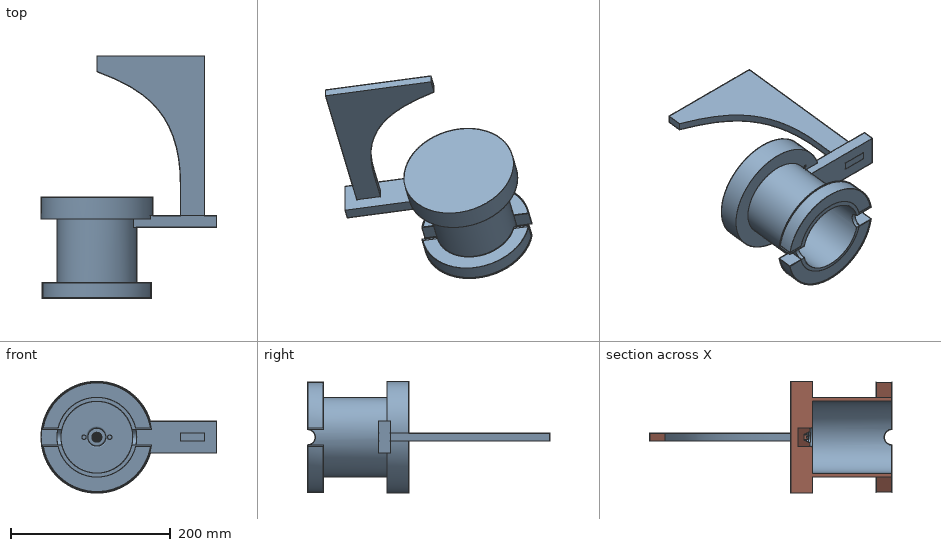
import cadquery as cq
import math

TUBE_DIAMETER = 100.0
BORE_DIAMETER = 90.0
FRONT_FLANGE_DIAMETER = 138.3
FRONT_FLANGE_THICKNESS = 20.0
REAR_FLANGE_DIAMETER = 140.0
REAR_FLANGE_FRONT = 99.5
REAR_FLANGE_BACK = 127.0

SLOT_WIDTH = 19.0
SLOT_WALL = 1.8

RING_COVER = 1.0

SMALL_HOLE_DIAMETER = 3
SMALL_HOLE_DEPTH = 4.5
SMALL_HOLE_X = 46.2
SMALL_HOLE_Z = 26.5

ARM_REACH = 220.0
ARM_END_X = ARM_REACH - REAR_FLANGE_DIAMETER / 2
ARM_HEIGHT = 40.0
ARM_THICKNESS = 15.0
ARM_FRONT = 89.0
ARM_BACK = ARM_FRONT + ARM_THICKNESS

HOOK_THICKNESS = 10.0
HOOK_INNER_X = 104.5
HOOK_WIDTH = 30.5
HOOK_OUTER_X = HOOK_INNER_X + HOOK_WIDTH
HOOK_BACK = 304
HOOK_TIP_X = 0
HOOK_TIP_Y = HOOK_BACK - 19.8
HOOK_CURVE_MIDDLE = (71.7, 242.3)
HOOK_CURVE_END_Y = 144.7
HOOK_TIP_DIRECTION = (0.94, -0.34)

BORE_FLOOR = REAR_FLANGE_FRONT
SOCKET_DIAMETER = 22.5
SOCKET_DEPTH = 18.2
SOCKET_ROUNDING = 2.0
KEY_HOLE_DIAMETER = 5.5
KEY_HOLE_OFFSET = SOCKET_DIAMETER / 2 + SOCKET_ROUNDING + KEY_HOLE_DIAMETER / 2
KEY_HOLE_DEPTH = 3

CONNECTOR_FRONT = BORE_FLOOR + 3
CONNECTOR_BACK = BORE_FLOOR + SOCKET_DEPTH
CONNECTOR_ROUNDING = 1.5
RECESS_DIAMETERS = (12.5, 10.3, 8.0)
RECESS_STEP = 2.5

CONTACT_DIAMETER = 6
CONTACT_BACK = CONNECTOR_FRONT + len(RECESS_DIAMETERS) * RECESS_STEP
CONTACT_HOLE_DIAMETERS = (5.0, 3, 1.67)
CONTACT_HOLE_STEP = 1.5


def rod(diameter, front, back):
    """Cylinder on the spool axis between two Y positions."""
    return cq.Workplane("XZ", origin=(0, front, 0)).circle(diameter / 2).extrude(front - back)


def block(x_range, y_range, height):
    """Box between two X and two Y positions, centred on Z = 0."""
    x_size = x_range[1] - x_range[0]
    y_size = y_range[1] - y_range[0]
    center = ((x_range[0] + x_range[1]) / 2, (y_range[0] + y_range[1]) / 2, 0)
    return cq.Workplane("XY").box(x_size, y_size, height).translate(center)


def across_flange(height):
    """Bar across the whole front flange, as deep as the flange is thick."""
    reach = FRONT_FLANGE_DIAMETER
    return block((-reach, reach), (0, FRONT_FLANGE_THICKNESS), height)


def stepped_hole(diameters, front, step):
    """Coaxial hole that narrows by one diameter at every step."""
    hole = rod(diameters[0], front, front + step)
    for level, diameter in enumerate(diameters[1:], start=2):
        hole = hole.union(rod(diameter, front, front + level * step))
    return hole


def make_half_rings():
    ring_front = RING_COVER
    ring_back = FRONT_FLANGE_THICKNESS - RING_COVER
    ring = rod(FRONT_FLANGE_DIAMETER - 2 * RING_COVER, ring_front, ring_back)
    ring = ring.cut(rod(TUBE_DIAMETER, ring_front, ring_back))
    return ring.cut(across_flange(SLOT_WIDTH + 2 * SLOT_WALL)).solids().vals()


def make_hook():
    return (
        cq.Workplane("XY", origin=(0, 0, -HOOK_THICKNESS / 2))
        .moveTo(HOOK_INNER_X, ARM_FRONT)
        .lineTo(HOOK_OUTER_X, ARM_FRONT)
        .lineTo(HOOK_OUTER_X, HOOK_BACK)
        .lineTo(HOOK_TIP_X, HOOK_BACK)
        .lineTo(HOOK_TIP_X, HOOK_TIP_Y)
        .spline(
            [HOOK_CURVE_MIDDLE, (HOOK_INNER_X, HOOK_CURVE_END_Y)],
            tangents=[HOOK_TIP_DIRECTION, (0, -1)],
            includeCurrent=True,
        )
        .close()
        .extrude(HOOK_THICKNESS)
    )


def make_arm_blank():
    """Arm without the hole for the hook, hollowed at its end to fit the tube."""
    arm = block((0, ARM_END_X), (ARM_FRONT, ARM_BACK), ARM_HEIGHT)
    return arm.cut(rod(TUBE_DIAMETER, ARM_FRONT, ARM_BACK))


def make_arm(hook):
    return make_arm_blank().cut(hook)


def make_socket():
    """Socket as a solid to cut away, flared by the rounding where it meets the bore floor."""
    radius = SOCKET_DIAMETER / 2
    arc_drop = SOCKET_ROUNDING * (1 - math.sqrt(0.5))
    rounded_end = BORE_FLOOR + SOCKET_ROUNDING
    socket_back = BORE_FLOOR + SOCKET_DEPTH
    return (
        cq.Workplane("XY")
        .moveTo(0, BORE_FLOOR)
        .lineTo(radius + SOCKET_ROUNDING, BORE_FLOOR)
        .threePointArc((radius + arc_drop, BORE_FLOOR + arc_drop), (radius, rounded_end))
        .lineTo(radius, socket_back)
        .lineTo(0, socket_back)
        .close()
        .revolve(360, (0, 0, 0), (0, 1, 0))
    )


def blind_hole(x, z, diameter, depth):
    """Hole parallel to the axis, drilled from the plane of the bore floor."""
    return rod(diameter, BORE_FLOOR, BORE_FLOOR + depth).translate((x, 0, z))


def make_spool(half_rings):
    front_flange = rod(FRONT_FLANGE_DIAMETER, 0, FRONT_FLANGE_THICKNESS).cut(across_flange(SLOT_WIDTH))
    rear_flange = rod(REAR_FLANGE_DIAMETER, REAR_FLANGE_FRONT, REAR_FLANGE_BACK)
    tube = rod(TUBE_DIAMETER, 0, REAR_FLANGE_FRONT)
    spool = tube.union(front_flange).union(rear_flange)
    spool = spool.cut(rod(BORE_DIAMETER, 0, BORE_FLOOR))

    notch = cq.Workplane("YZ").circle(SLOT_WIDTH / 2).extrude(TUBE_DIAMETER, both=True)
    spool = spool.cut(notch)

    spool = spool.cut(make_socket())
    for side in (-1, 1):
        spool = spool.cut(blind_hole(side * KEY_HOLE_OFFSET, 0, KEY_HOLE_DIAMETER, KEY_HOLE_DEPTH))
    spool = spool.cut(blind_hole(SMALL_HOLE_X, SMALL_HOLE_Z, SMALL_HOLE_DIAMETER, SMALL_HOLE_DEPTH))

    spool = spool.cut(make_arm_blank())
    for half_ring in half_rings:
        spool = spool.cut(cq.Workplane(half_ring))
    return spool


def make_connector():
    connector = rod(SOCKET_DIAMETER, CONNECTOR_FRONT, CONNECTOR_BACK)
    connector = connector.faces("<Y").edges().fillet(CONNECTOR_ROUNDING)
    return connector.cut(stepped_hole(RECESS_DIAMETERS, CONNECTOR_FRONT, RECESS_STEP))


def make_contact():
    contact = rod(CONTACT_DIAMETER, CONNECTOR_FRONT, CONTACT_BACK)
    return contact.cut(stepped_hole(CONTACT_HOLE_DIAMETERS, CONNECTOR_FRONT, CONTACT_HOLE_STEP))


half_rings = make_half_rings()
hook = make_hook()
arm = make_arm(hook)
spool = make_spool(half_rings)
connector = make_connector()
contact = make_contact()

result = cq.Compound.makeCompound(
    [
        spool.val(),
        *half_rings,
        arm.val(),
        hook.val(),
        connector.val(),
        contact.val(),
    ]
)